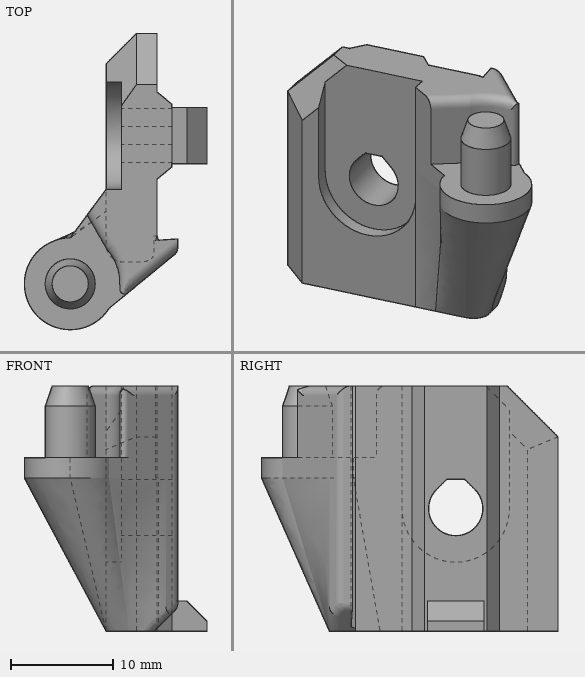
import cadquery as cq
import math


height = 24.0
cone_bottom = 15.0
pad_top = 17.0

plate_left = 3.5
plate_thickness = 5.0
plate_right = plate_left + plate_thickness
plate_end = 24.5
side_chamfer = 3.0
top_chamfer = 5.0

hole_y = 14.5
hole_z = height / 2
hole_radius = 2.65
hole_flat_height = 2.85
pocket_radius = 5.25
pocket_depth = 1.5
elbow_y = hole_y - pocket_radius

rib_root_half = 4.25
rib_tip_half = 3.07
rib_right = 9.95
latch_width = 5.5
latch_height = 3.0
latch_right = 13.4
latch_slope = 2.0

disc_radius = 4.5
pin_radius = 4.9 / 2
pin_tip_radius = 1.77
pin_taper = 2.0

arm_angle = math.radians(39.4)
flank_start_x = 3.8
flank_start_y = -math.sqrt(disc_radius**2 - flank_start_x**2)
lip_right = 10.53
lip_top = 4.4
lip_root = (8.35, 4.25)
notch_top = (plate_right, 4.7)
lip_chamfer = 2.32
edge_radius = 1.0
recess_corner_radius = 0.5

recess_end_x = 1.65
recess_bend = (3.6, 3.35)
recess_middle = (4.52, 1.83)
recess_side = (4.85, -0.12)

base_tangent = (plate_left, 7.1)
base_corner = (5.77, 2.15)
base_radius = 1.62
support_right = 9.37


def flank_y(x):
    """Y of the lower flank of the arm at a given X."""
    return flank_start_y + (x - flank_start_x) * math.tan(arm_angle)


elbow = (plate_left, elbow_y)
inner_elbow = (plate_right, elbow_y)
disc_top = (0, disc_radius)
disc_left = (-disc_radius, 0)
disc_bottom = (0, -disc_radius)
recess_end = (recess_end_x, disc_radius + (elbow_y - disc_radius) * recess_end_x / plate_left)
flank_start = (flank_start_x, flank_start_y)
flank_end = (lip_right, flank_y(lip_right))
support_corner = (support_right, flank_y(support_right))
round_start = (plate_left, base_corner[1] + base_radius)
round_end = (plate_left + base_radius, base_corner[1])
recess_corner = (recess_side[0], flank_y(recess_side[0]))


def round_lip_end(solid):
    """Round the upright edge where the flank meets the end of the lip."""
    edge = cq.selectors.NearestToPointSelector((*flank_end, solid.val().Center().z))
    return solid.edges("|Z").edges(edge).fillet(edge_radius)


def make_plate():
    outline = [
        (plate_left, elbow_y),
        (plate_right, elbow_y),
        (plate_right, plate_end),
        (plate_left + side_chamfer, plate_end),
        (plate_left, plate_end - side_chamfer),
    ]
    return cq.Workplane("XY").polyline(outline).close().extrude(height)


def make_rear_rib():
    outline = [
        (plate_right, hole_y - rib_root_half),
        (rib_right, hole_y - rib_tip_half),
        (rib_right, hole_y + rib_tip_half),
        (plate_right, hole_y + rib_root_half),
    ]
    return cq.Workplane("XY").polyline(outline).close().extrude(height)


def make_latch():
    profile = [
        (plate_right, 0),
        (latch_right, 0),
        (latch_right, latch_height - latch_slope),
        (latch_right - latch_slope, latch_height),
        (plate_right, latch_height),
    ]
    plane = cq.Workplane("XZ", origin=(0, hole_y, 0))
    return plane.polyline(profile).close().extrude(latch_width / 2, both=True)


def make_pad():
    """Layer of the arm that carries the disc."""
    outline = (
        cq.Workplane("XY", origin=(0, 0, cone_bottom))
        .moveTo(*elbow)
        .lineTo(*disc_top)
        .threePointArc(disc_left, flank_start)
        .lineTo(*flank_end)
        .lineTo(lip_right, lip_top)
        .lineTo(*lip_root)
        .lineTo(*notch_top)
        .lineTo(*inner_elbow)
        .close()
    )
    return round_lip_end(outline.extrude(pad_top - cone_bottom))


def make_upper_arm():
    """Arm above the pad, with rounded rims along the recess and the flank."""
    outline = (
        cq.Workplane("XY", origin=(0, 0, pad_top))
        .moveTo(*elbow)
        .lineTo(*recess_end)
        .lineTo(*recess_bend)
        .threePointArc(recess_middle, recess_side)
        .lineTo(*recess_corner)
        .lineTo(*flank_end)
        .lineTo(lip_right, lip_top)
        .lineTo(*lip_root)
        .lineTo(*notch_top)
        .lineTo(*inner_elbow)
        .close()
    )
    arm = outline.extrude(height - pad_top)
    rim_x = (recess_end[0] + recess_bend[0]) / 2
    rim_y = (recess_end[1] + recess_bend[1]) / 2
    flank_x = (recess_corner[0] + flank_end[0]) / 2
    edge_points = [
        (rim_x, rim_y, height),
        (*recess_middle, height),
        (*recess_side, height),
        (flank_x, flank_y(flank_x), height),
    ]
    edges = arm.newObject([])
    for point in edge_points:
        edges = edges.add(arm.edges(cq.selectors.NearestToPointSelector(point)))
    corner = cq.selectors.NearestToPointSelector((*recess_corner, (height + pad_top) / 2))
    upright = round_lip_end(arm).edges("|Z").edges(corner).fillet(recess_corner_radius)
    return edges.fillet(edge_radius).intersect(upright)


def make_support():
    """Ruled taper from the base beside the plate up to the underside of the pad."""
    return (
        cq.Workplane("XY")
        .moveTo(*elbow)
        .lineTo(*base_tangent)
        .lineTo(*round_start)
        .radiusArc(round_end, -base_radius)
        .lineTo(*base_corner)
        .lineTo(*support_corner)
        .lineTo(*notch_top)
        .lineTo(*inner_elbow)
        .close()
        .workplane(offset=cone_bottom)
        .moveTo(*elbow)
        .lineTo(*disc_top)
        .radiusArc(disc_left, -disc_radius)
        .radiusArc(disc_bottom, -disc_radius)
        .radiusArc(flank_start, -disc_radius)
        .lineTo(*support_corner)
        .lineTo(*notch_top)
        .lineTo(*inner_elbow)
        .close()
        .loft(ruled=True)
    )


def make_lower_lip():
    """Lip continued down from the pad to the base."""
    outline = [support_corner, flank_end, (lip_right, lip_top), lip_root]
    return round_lip_end(cq.Workplane("XY").polyline(outline).close().extrude(cone_bottom))


def make_lip_chamfer():
    """Wedge that slopes the bottom of the lip back to the plate."""
    profile = [(lip_right - lip_chamfer, 0), (lip_right, 0), (lip_right, lip_chamfer)]
    return cq.Workplane("XZ").polyline(profile).close().extrude(-notch_top[1])


def round_chamfer_rim(solid):
    """Round the sloping rim where the lip chamfer meets the support and the flank."""
    edges = solid.newObject([])
    chamfer_start = lip_right - lip_chamfer
    for left, right in ((chamfer_start, support_right), (support_right, lip_right)):
        x = (left + right) / 2
        point = (x, max(base_corner[1], flank_y(x)), x - chamfer_start)
        edges = edges.add(solid.edges(cq.selectors.NearestToPointSelector(point)))
    return edges.fillet(edge_radius)


def make_pin():
    profile = [
        (0, pad_top),
        (pin_radius, pad_top),
        (pin_radius, height - pin_taper),
        (pin_tip_radius, height),
        (0, height),
    ]
    return cq.Workplane("XZ").polyline(profile).close().revolve(360, (0, 0), (0, 1))


def make_top_chamfer():
    """Wedge at the top far corner: 45 degrees on the right, deeper toward the left."""
    drop = side_chamfer * math.sqrt(2)

    def corner(depth):
        return [(plate_end - depth, height), (plate_end, height), (plate_end, height - depth)]

    flat_left = plate_left + side_chamfer
    right = cq.Workplane("YZ", origin=(flat_left, 0, 0))
    right = right.polyline(corner(top_chamfer)).close().extrude(plate_right - flat_left)
    left = (
        cq.Workplane("YZ", origin=(plate_left, 0, 0))
        .polyline(corner(top_chamfer + drop))
        .close()
        .workplane(offset=side_chamfer)
        .polyline(corner(top_chamfer))
        .close()
        .loft(ruled=True)
    )
    return right.union(left)


def make_pocket():
    """Round-bottomed pocket, open at the top of the plate."""
    plane = cq.Workplane("YZ", origin=(plate_left, hole_y, hole_z))
    return (
        plane.moveTo(-pocket_radius, height - hole_z)
        .lineTo(-pocket_radius, 0)
        .threePointArc((0, -pocket_radius), (pocket_radius, 0))
        .lineTo(pocket_radius, height - hole_z)
        .close()
        .extrude(pocket_depth)
    )


def make_hole():
    """Teardrop hole with a flat roof, running through plate and rib."""
    tangent = hole_radius * math.sqrt(0.5)
    flat_half = hole_radius * math.sqrt(2) - hole_flat_height
    plane = cq.Workplane("YZ", origin=(plate_left, hole_y, hole_z))
    return (
        plane.moveTo(-tangent, tangent)
        .threePointArc((0, -hole_radius), (tangent, tangent))
        .lineTo(flat_half, hole_flat_height)
        .lineTo(-flat_half, hole_flat_height)
        .close()
        .extrude(rib_right - plate_left)
    )


arm = make_support().union(make_lower_lip()).cut(make_lip_chamfer())
arm = round_chamfer_rim(arm)
arm = arm.union(make_pad()).union(make_upper_arm()).union(make_pin())
body = make_plate().union(make_rear_rib()).union(make_latch())
body = body.cut(make_top_chamfer()).cut(make_pocket()).cut(make_hole())
result = body.union(arm).clean()